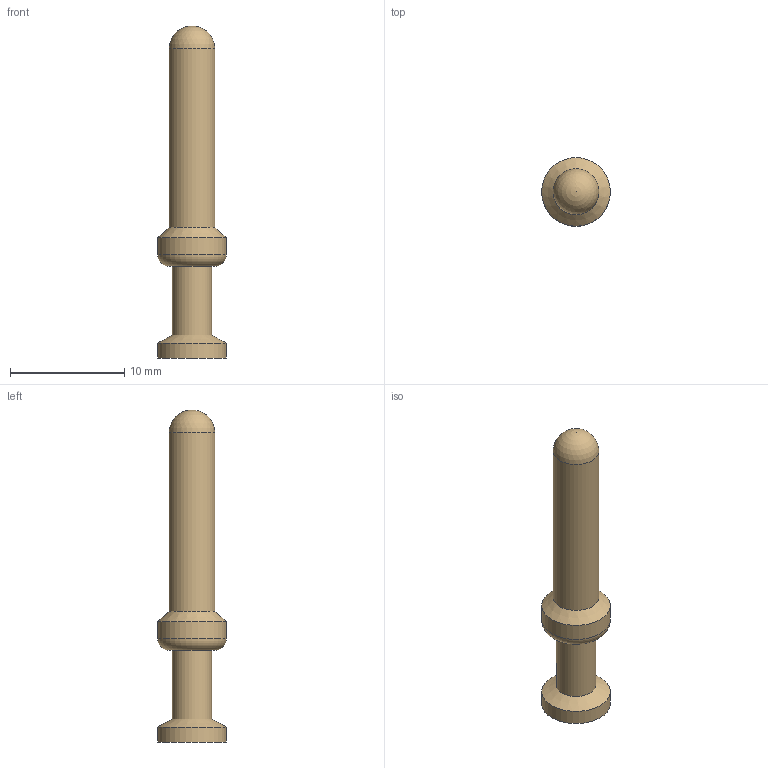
import cadquery as cq
import math

total_height = 29.0
pin_radius = 2.0
stem_radius = 1.725
flange_radius = 3.0

base_rim_height = 1.3
base_cone_top = 2.0

collar_bottom = 8.0
collar_round_radius = 1.0
collar_rim_top = 10.5
collar_cone_top = 11.4

collar_rim_bottom = collar_bottom + collar_round_radius
collar_flat_radius = flange_radius - collar_round_radius
dome_base = total_height - pin_radius
diagonal = math.sqrt(0.5)


def half_profile():
    """Half of the axial section, as (radius, Z) on the YZ plane."""
    round_middle = (
        collar_flat_radius + collar_round_radius * diagonal,
        collar_rim_bottom - collar_round_radius * diagonal,
    )
    dome_middle = (pin_radius * diagonal, dome_base + pin_radius * diagonal)
    return (
        cq.Workplane("YZ")
        .moveTo(0, 0)
        .lineTo(flange_radius, 0)
        .lineTo(flange_radius, base_rim_height)
        .lineTo(stem_radius, base_cone_top)
        .lineTo(stem_radius, collar_bottom)
        .lineTo(collar_flat_radius, collar_bottom)
        .threePointArc(round_middle, (flange_radius, collar_rim_bottom))
        .lineTo(flange_radius, collar_rim_top)
        .lineTo(pin_radius, collar_cone_top)
        .lineTo(pin_radius, dome_base)
        .threePointArc(dome_middle, (0, total_height))
        .close()
    )


result = half_profile().revolve(360, (0, 0, 0), (0, 1, 0))